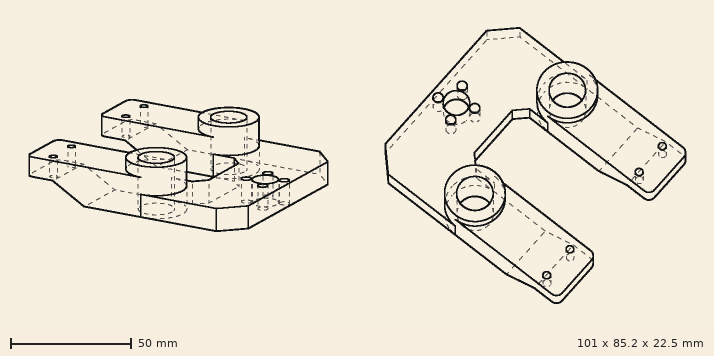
import cadquery as cq
import math

length = 101.0
overall_width = 85.2
arm_width = 25.2
arm_spacing = overall_width - arm_width

plate_thickness = 10.0
slot_end_x = 70.0
slot_width = arm_spacing - arm_width
slot_chamfer = 5.0
corner_chamfer = 9.7

nut_x = 90.0
nut_bore = 11.0
screw_hole = 4.2
screw_circle_radius = 8.0
screw_count = 4
screw_angle = 22.5

eye_x = 55.0
eye_radius = arm_width / 2
eye_bore = 15.2
boss_top = 22.5
arm_top = 17.5
tip_bottom = 8.8
slope_start_x = 12.5
slope_run = 15.2
tip_radius = 3.0
tip_hole = 3.2
tip_hole_x = 10.0
tip_hole_spacing = 15.0

eye_centers = [(eye_x, side * arm_spacing / 2) for side in (-1, 1)]


def make_plate():
    """Flat plate with a slot between the arms and a round recess for each arm's eye."""
    plate = (
        cq.Workplane("XY")
        .box(length - eye_x, overall_width, plate_thickness, centered=(False, True, False))
        .translate((eye_x, 0, 0))
        .edges("|Z and >X")
        .chamfer(corner_chamfer)
    )
    slot = (
        cq.Workplane("XY")
        .box(slot_end_x, slot_width, plate_thickness, centered=(False, True, False))
        .edges("|Z and >X")
        .chamfer(slot_chamfer)
    )
    eye_recesses = cq.Workplane("XY").pushPoints(eye_centers).circle(eye_radius).extrude(plate_thickness)
    nut_hole = cq.Workplane("XY").center(nut_x, 0).circle(nut_bore / 2).extrude(plate_thickness)
    angles = [math.radians(screw_angle + i * 360 / screw_count) for i in range(screw_count)]
    screw_points = [
        (nut_x + screw_circle_radius * math.cos(a), screw_circle_radius * math.sin(a)) for a in angles
    ]
    screw_holes = cq.Workplane("XY").pushPoints(screw_points).circle(screw_hole / 2).extrude(plate_thickness)
    return plate.cut(slot).cut(eye_recesses).cut(nut_hole).cut(screw_holes)


def make_arm(center_y):
    """Arm with a thinned tip, a sloped underside and a bored eye at its root."""
    side_profile = [
        (0, arm_top),
        (0, tip_bottom),
        (slope_start_x, tip_bottom),
        (slope_start_x + slope_run, 0),
        (eye_x, 0),
        (eye_x, arm_top),
    ]
    bar = (
        cq.Workplane("XZ")
        .polyline(side_profile)
        .close()
        .extrude(eye_radius, both=True)
        .edges("|Z and <X")
        .fillet(tip_radius)
    )
    eye = cq.Workplane("XY").center(eye_x, 0).circle(eye_radius).extrude(boss_top)
    bore = cq.Workplane("XY").center(eye_x, 0).circle(eye_bore / 2).extrude(boss_top)
    tip_holes = (
        cq.Workplane("XY")
        .pushPoints([(tip_hole_x, side * tip_hole_spacing / 2) for side in (-1, 1)])
        .circle(tip_hole / 2)
        .extrude(arm_top)
    )
    return bar.union(eye).cut(bore).cut(tip_holes).translate((0, center_y, 0))


plate = make_plate()
arms = [make_arm(center_y) for _, center_y in eye_centers]

result = cq.Compound.makeCompound([plate.solids().val(), *[arm.solids().val() for arm in arms]])